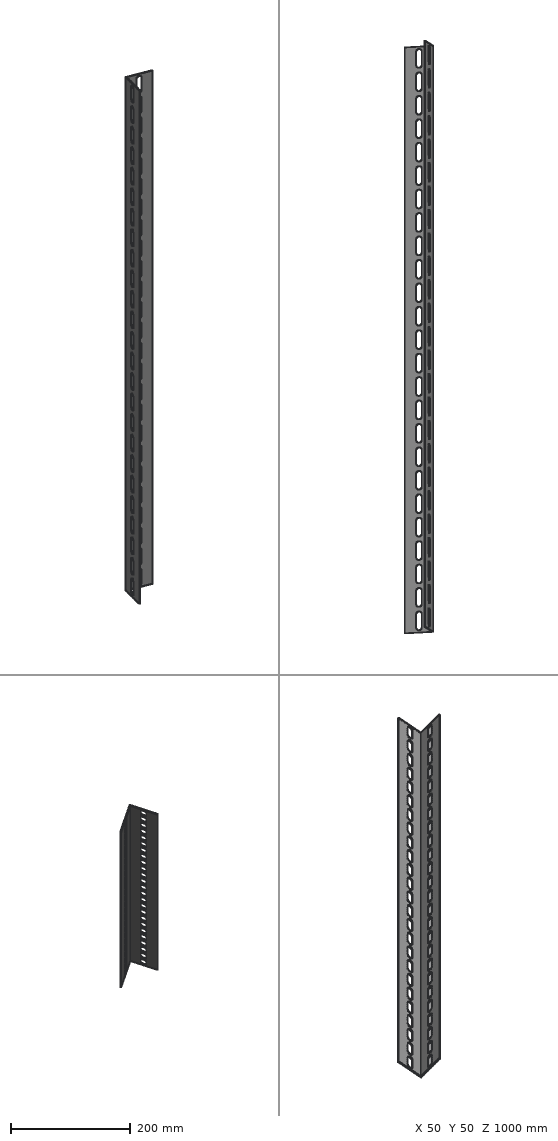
import cadquery as cq

leg_width = 50.0
length = 1000.0
thickness = 2.0

slot_pitch = 40.0
slot_count = int(length / slot_pitch)
slot_length = 32.0
slot_width = 10.0
slot_offset = leg_width / 2
first_slot_height = slot_pitch / 2


def angle_bar():
    """L-shaped bar standing along Z with its outer corner on the Z axis."""
    outline = [
        (0, 0),
        (leg_width, 0),
        (leg_width, thickness),
        (thickness, thickness),
        (thickness, leg_width),
        (0, leg_width),
    ]
    return cq.Workplane("XY").polyline(outline).close().extrude(length)


def slot_row(plane, depth):
    """Upright round-ended slot cutters, evenly spaced along the bar."""
    centres = [
        (slot_offset, first_slot_height + i * slot_pitch)
        for i in range(slot_count)
    ]
    return (
        cq.Workplane(plane)
        .pushPoints(centres)
        .slot2D(slot_length, slot_width, 90)
        .extrude(depth)
    )


leg_x_slots = slot_row("XZ", -thickness)
leg_y_slots = slot_row("YZ", thickness)

result = angle_bar().cut(leg_x_slots).cut(leg_y_slots)